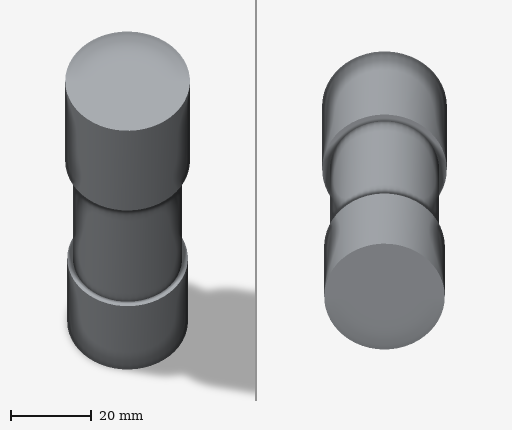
import cadquery as cq

total_length = 98.0
bottom_length = 25.8
top_length = 32.5
neck_length = total_length - bottom_length - top_length

bottom_diameter = 29.8
neck_diameter = 27.0
top_diameter = 30.8


def add_section(shaft, diameter, length):
    """Extrude a coaxial cylinder upward from the top face of the shaft."""
    return shaft.faces(">Z").workplane().circle(diameter / 2).extrude(length)


result = cq.Workplane("XY").circle(bottom_diameter / 2).extrude(bottom_length)
result = add_section(result, neck_diameter, neck_length)
result = add_section(result, top_diameter, top_length)